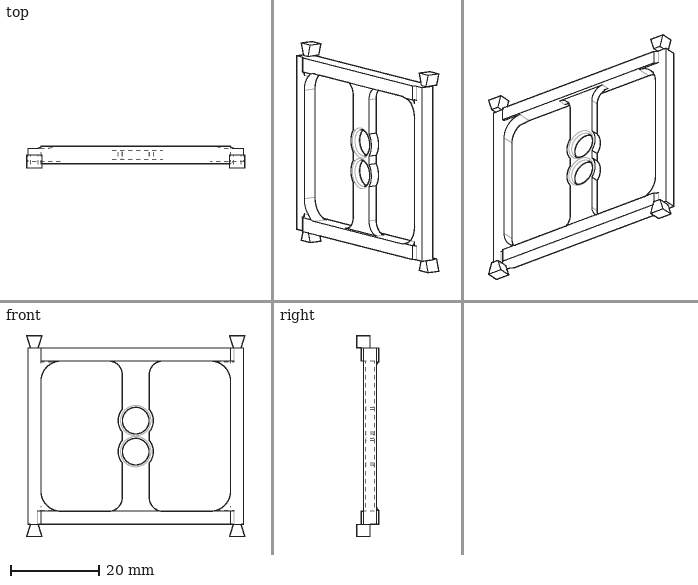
import cadquery as cq
import math

frame_width = 48.9
frame_height = 40.0
frame_thickness = 3.0
rail_width = 3.0
corner_radius = 4.5

web_width = 6.2
web_recess = 0.5
web_fillet = 3.0
eyelet_outer_diameter = 8.0
eyelet_hole_diameter = 6.0
eyelet_spacing = 7.0
eyelet_rounding = 0.45

strip_height = 0.5
strip_fillet = 1.0
back_strip_overlap = 0.2

total_width = 49.45
total_height = 45.5
foot_wide = 3.5
foot_narrow = 1.8
foot_depth = 3.0
foot_front = -1.5

inner_half_width = frame_width / 2 - rail_width
inner_half_height = frame_height / 2 - rail_width
opening_width = inner_half_width - web_width / 2
web_front = web_recess
web_back = frame_thickness - web_recess
web_thickness = web_back - web_front
web_reach = web_width / 2 + web_fillet


def fillet_reach(radius, rise):
    """Length along the base of a concave arc, tangent to it, that climbs by rise."""
    return math.sqrt(radius**2 - (radius - rise) ** 2)


def fillet_rise(radius, reach):
    """Height of a concave arc at a distance reach from its tangent point."""
    return radius - math.sqrt(radius**2 - reach**2)


def box_between(x_range, y_range, z_range):
    sizes = [high - low for low, high in (x_range, y_range, z_range)]
    corner = (x_range[0], y_range[0], z_range[0])
    return cq.Workplane("XY").box(*sizes, centered=False).translate(corner)


def make_opening(side):
    """Through-opening between a side rail (side = -1 or 1) and the web."""
    center_x = side * (inner_half_width + web_width / 2) / 2
    outer_edges, web_edges = (">X", "<X") if side > 0 else ("<X", ">X")
    opening = cq.Workplane("XY").box(opening_width, frame_thickness, 2 * inner_half_height)
    opening = opening.faces(outer_edges).edges("|Y").fillet(corner_radius)
    opening = opening.faces(web_edges).edges("|Y").fillet(web_fillet)
    return opening.translate((center_x, frame_thickness / 2, 0))


def eyelet_cylinder(diameter, center_z):
    plane = cq.Workplane("XZ", origin=(0, web_front, center_z))
    return plane.circle(diameter / 2).extrude(-web_thickness)


def eyelet_cutter(center_z):
    """Hole with convex roundings at both mouths."""
    hole = eyelet_hole_diameter / 2
    mouth = hole + eyelet_rounding
    arc_inset = eyelet_rounding * (1 - math.sqrt(0.5))
    profile = (
        cq.Workplane("XY")
        .moveTo(0, web_front)
        .lineTo(mouth, web_front)
        .threePointArc((hole + arc_inset, web_front + arc_inset), (hole, web_front + eyelet_rounding))
        .lineTo(hole, web_back - eyelet_rounding)
        .threePointArc((hole + arc_inset, web_back - arc_inset), (mouth, web_back))
        .lineTo(0, web_back)
        .close()
    )
    return profile.revolve(360, (0, 0, 0), (0, 1, 0)).translate((0, 0, center_z))


def make_frame():
    frame = cq.Workplane("XY").box(frame_width, frame_thickness, frame_height)
    frame = frame.translate((0, frame_thickness / 2, 0))
    for side in (-1, 1):
        frame = frame.cut(make_opening(side))
    web_span = (-web_reach, web_reach)
    inner_span = (-inner_half_height, inner_half_height)
    frame = frame.cut(box_between(web_span, (0, web_front), inner_span))
    return frame.cut(box_between(web_span, (web_back, frame_thickness), inner_span))


def add_eyelets(body):
    centers = (-eyelet_spacing / 2, eyelet_spacing / 2)
    for center_z in centers:
        body = body.union(eyelet_cylinder(eyelet_outer_diameter, center_z))
    for center_z in centers:
        body = body.cut(eyelet_cutter(center_z))
    return body


def end_fillet(end, face_y, outward, inner_edge):
    """Section of the concave fillet, in XY, at one end (-1 or 1) of a strip."""
    x_strip = end * inner_half_width
    reach = fillet_reach(strip_fillet, strip_height)
    x_tangent = x_strip + end * reach
    x_middle = x_strip + end * reach / 2
    middle_rise = fillet_rise(strip_fillet, reach / 2)
    return (
        cq.Workplane("XY", origin=(0, 0, inner_edge))
        .moveTo(x_strip, face_y)
        .lineTo(x_tangent, face_y)
        .threePointArc(
            (x_middle, face_y + outward * middle_rise),
            (x_strip, face_y + outward * strip_height),
        )
        .close()
        .extrude(frame_height / 2 - inner_edge)
    )


def front_strip(fillet_ends):
    """Upper front strip, with fillets only at the listed ends."""
    strip = box_between(
        (-inner_half_width, inner_half_width),
        (-strip_height, 0),
        (inner_half_height, frame_height / 2),
    )
    for end in fillet_ends:
        strip = strip.union(end_fillet(end, 0, -1, inner_half_height))
    return strip


def inner_edge_fillet(inner_edge):
    """Concave fillet along the lower edge of the upper back strip."""
    reach = fillet_reach(strip_fillet, strip_height)
    middle_rise = fillet_rise(strip_fillet, reach / 2)
    return (
        cq.Workplane("YZ", origin=(-inner_half_width, 0, 0))
        .moveTo(frame_thickness, inner_edge)
        .lineTo(frame_thickness, inner_edge - reach)
        .threePointArc(
            (frame_thickness + middle_rise, inner_edge - reach / 2),
            (frame_thickness + strip_height, inner_edge),
        )
        .close()
        .extrude(2 * inner_half_width)
    )


def back_strip(frame):
    """Upper back strip, present only where full-thickness frame backs it."""
    inner_edge = inner_half_height - back_strip_overlap
    strip = box_between(
        (-inner_half_width, inner_half_width),
        (frame_thickness, frame_thickness + strip_height),
        (inner_edge, frame_height / 2),
    )
    for end in (-1, 1):
        strip = strip.union(end_fillet(end, frame_thickness, 1, inner_edge))
    strip = strip.union(inner_edge_fillet(inner_edge))
    return strip.intersect(frame.translate((0, strip_height, 0)))


def upper_foot(side):
    center_x = side * (total_width - foot_wide) / 2
    bottom = frame_height / 2
    top = total_height / 2
    return (
        cq.Workplane("XZ", origin=(center_x, foot_front, 0))
        .polyline(
            [
                (-foot_narrow / 2, bottom),
                (foot_narrow / 2, bottom),
                (foot_wide / 2, top),
                (-foot_wide / 2, top),
            ]
        )
        .close()
        .extrude(-foot_depth)
    )


frame = make_frame()
result = add_eyelets(frame)

result = result.union(front_strip([1]))
result = result.union(front_strip([-1, 1]).mirror("XY"))

upper_back = back_strip(frame)
result = result.union(upper_back).union(upper_back.mirror("XY"))

for side in (-1, 1):
    foot = upper_foot(side)
    result = result.union(foot).union(foot.mirror("XY"))